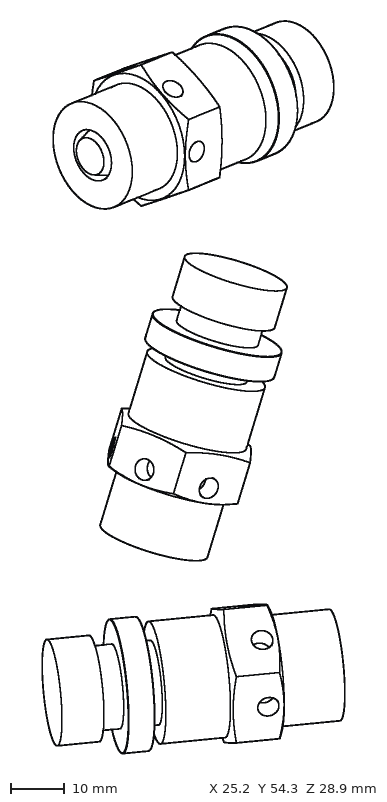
import cadquery as cq
import math

overall_length = 54.3

cap_diameter = 20.0
cap_length = 8.0
neck_diameter = 15.9
core_diameter = 13.0
nose_diameter = 10.0
tip_diameter = 7.3
tip_protrusion = 0.65
tip_cone_length = 4.0
cap_start = overall_length - cap_length

front_barrel_diameter = 20.95
front_barrel_length = 11.9
hex_across_flats = 25.05
hex_length = 10.05
hex_corner_diameter = hex_across_flats / math.cos(math.pi / 6)
rear_barrel_diameter = 23.0
rear_barrel_length = 12.25
sleeve_front = tip_protrusion
hex_front = sleeve_front + front_barrel_length
hex_rear = hex_front + hex_length
sleeve_rear = hex_rear + rear_barrel_length

hex_trim_length = 0.9
front_trim_diameter = 24.75
rear_trim_diameter = rear_barrel_diameter

spanner_hole_diameter = 4.0
spanner_hole_setback = 3.05
hex_sides = 6

ring_diameter = 25.25
ring_width = 5.05
ring_gap = 2.3
ring_chamfer = 0.1
ring_front = sleeve_rear + ring_gap


def cylinder(diameter, start, end):
    """Solid cylinder on the Y axis between two Y positions."""
    return cq.Workplane("XZ", origin=(0, start, 0)).circle(diameter / 2).extrude(start - end)


def revolve_profile(points):
    """Turn a closed (radius, Y) profile around the Y axis."""
    return cq.Workplane("XY").polyline(points).close().revolve(360, (0, 0, 0), (0, 1, 0))


def make_hexagon():
    """Hexagon with corners on the Z axis, trimmed by a cone at each end."""
    prism = (
        cq.Workplane("XZ", origin=(0, hex_front, 0))
        .polygon(hex_sides, hex_corner_diameter)
        .extrude(-hex_length)
        .rotate((0, 0, 0), (0, 1, 0), 90)
    )
    corner_radius = hex_corner_diameter / 2
    trim_envelope = revolve_profile([
        (0, hex_front),
        (front_trim_diameter / 2, hex_front),
        (corner_radius, hex_front + hex_trim_length),
        (corner_radius, hex_rear - hex_trim_length),
        (rear_trim_diameter / 2, hex_rear),
        (0, hex_rear),
    ])
    return prism.intersect(trim_envelope)


def make_spanner_hole(angle):
    """Radial cutter from the axis out through one flat."""
    hole_y = hex_front + spanner_hole_setback
    return (
        cq.Workplane("YZ", origin=(0, hole_y, 0))
        .circle(spanner_hole_diameter / 2)
        .extrude(hex_corner_diameter / 2)
        .rotate((0, 0, 0), (0, 1, 0), angle)
    )


def make_sleeve():
    """Hexagonal sleeve with a stepped bore and spanner holes through to the bore."""
    sleeve = (
        cylinder(front_barrel_diameter, sleeve_front, hex_front)
        .union(make_hexagon())
        .union(cylinder(rear_barrel_diameter, hex_rear, sleeve_rear))
        .cut(cylinder(nose_diameter, sleeve_front, hex_front))
        .cut(cylinder(neck_diameter, hex_front, sleeve_rear))
    )
    for side in range(hex_sides):
        sleeve = sleeve.cut(make_spanner_hole(side * 360 / hex_sides))
    return sleeve


def make_spindle():
    """Turned spindle: the neck fits the rear of the bore and the core stands clear inside it."""
    return revolve_profile([
        (0, 0),
        (tip_diameter / 2, 0),
        (nose_diameter / 2, tip_cone_length),
        (nose_diameter / 2, hex_front),
        (core_diameter / 2, hex_front),
        (core_diameter / 2, hex_rear),
        (neck_diameter / 2, hex_rear),
        (neck_diameter / 2, cap_start),
        (cap_diameter / 2, cap_start),
        (cap_diameter / 2, overall_length),
        (0, overall_length),
    ])


def make_ring():
    """Plain ring around the neck with lightly chamfered outer edges."""
    ring_rear = ring_front + ring_width
    return (
        cylinder(ring_diameter, ring_front, ring_rear)
        .faces("<Y or >Y")
        .edges()
        .chamfer(ring_chamfer)
        .cut(cylinder(neck_diameter, ring_front, ring_rear))
    )


sleeve = make_sleeve()
spindle = make_spindle()
ring = make_ring()

result = cq.Compound.makeCompound([sleeve.val(), spindle.val(), ring.val()])